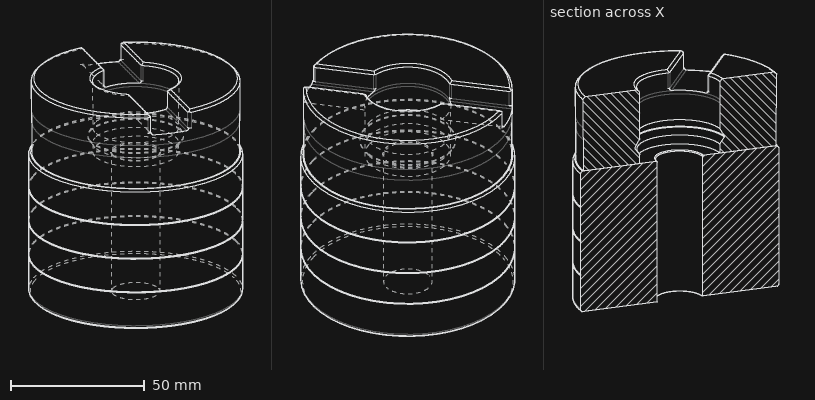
import cadquery as cq
import math

TOTAL_HEIGHT = 85.0
BASE_HEIGHT = 55.8

BASE_RADIUS = 80.0 / 2
HOLE_RADIUS = 18.0 / 2
HOLE_CHAMFER = 0.38
RIM_CHAMFER_HEIGHT = 1.0
RIM_CHAMFER_WIDTH = 0.8
FOOT_CHAMFER = 0.7
FOOT_TAPER_TOP = 1.4
FOOT_TAPER = 0.025
GROOVE_COUNT = 3
GROOVE_PITCH = 13.4
FIRST_GROOVE_HEIGHT = 14.7
GROOVE_WIDTH = 0.4
GROOVE_DEPTH = 0.2

COLLAR_TOP_RADIUS = 78.0 / 2
COLLAR_LOWER_RADIUS = 77.7 / 2
COLLAR_TAPER_TOP = 72.9
COLLAR_TAPER_BOTTOM = 68.1
BORE_TOP_RADIUS = 32.2 / 2
BORE_LOWER_RADIUS = 32.05 / 2
BORE_TAPER_TOP = 76.8
BORE_TAPER_BOTTOM = 75.6
COLLAR_CHAMFER = 1.0

UNDERCUT_TOP = 65.4
UNDERCUT_DEPTH = 1.9
UNDERCUT_FLOOR_HEIGHT = 0.3
UPPER_FLANK_ANGLE = math.radians(30)
LOWER_FLANK_ANGLE = math.radians(37)

SLOT_WIDTH = 14.7
SLOT_DEPTH = 8.0
SLOT_ANGLE = -35.0
SLOT_FLOOR_FILLET = 0.8
SLOT_END_FILLET = 1.0
SLOT_WALLS = cq.selectors.ParallelDirSelector(
    cq.Vector(-math.sin(math.radians(SLOT_ANGLE)), math.cos(math.radians(SLOT_ANGLE)), 0)
)


def revolve_profile(points):
    """Revolve a closed (radius, height) outline about the Z axis."""
    return cq.Workplane("XZ").polyline(points).close().revolve(360, (0, 0, 0), (0, 1, 0))


def make_base():
    """Cylinder with V-shaped ring grooves, chamfered rims and a through hole."""
    foot_radius = BASE_RADIUS - FOOT_TAPER
    outline = [
        (HOLE_RADIUS, 0),
        (foot_radius - FOOT_CHAMFER, 0),
        (foot_radius, FOOT_CHAMFER),
        (BASE_RADIUS, FOOT_TAPER_TOP),
        (BASE_RADIUS, BASE_HEIGHT - RIM_CHAMFER_HEIGHT),
        (BASE_RADIUS - RIM_CHAMFER_WIDTH, BASE_HEIGHT),
        (HOLE_RADIUS + HOLE_CHAMFER, BASE_HEIGHT),
        (HOLE_RADIUS, BASE_HEIGHT - HOLE_CHAMFER),
    ]
    base = revolve_profile(outline)
    for index in range(GROOVE_COUNT):
        middle = FIRST_GROOVE_HEIGHT + index * GROOVE_PITCH
        groove = revolve_profile([
            (BASE_RADIUS, middle - GROOVE_WIDTH / 2),
            (BASE_RADIUS - GROOVE_DEPTH, middle),
            (BASE_RADIUS, middle + GROOVE_WIDTH / 2),
        ])
        base = base.cut(groove)
    return base


def cut_slot(ring):
    """Cut a slot with flared upper edges, rounded wall ends and rounded floor edges."""
    half_width = SLOT_WIDTH / 2
    half_flare = half_width + COLLAR_CHAMFER
    flare_bottom = TOTAL_HEIGHT - COLLAR_CHAMFER
    floor = TOTAL_HEIGHT - SLOT_DEPTH
    wall_bottom = floor + SLOT_FLOOR_FILLET
    wall_section = [
        (-half_width, wall_bottom),
        (half_width, wall_bottom),
        (half_width, flare_bottom),
        (half_flare, TOTAL_HEIGHT),
        (-half_flare, TOTAL_HEIGHT),
        (-half_width, flare_bottom),
    ]
    wall_cutter = (
        cq.Workplane("YZ")
        .polyline(wall_section)
        .close()
        .extrude(2 * COLLAR_TOP_RADIUS, both=True)
        .rotate((0, 0, 0), (0, 0, 1), SLOT_ANGLE)
    )
    floor_cutter = (
        cq.Workplane("XY")
        .workplane(offset=floor)
        .rect(4 * COLLAR_TOP_RADIUS, SLOT_WIDTH)
        .extrude(SLOT_DEPTH / 2)
        .edges("|X and <Z")
        .fillet(SLOT_FLOOR_FILLET)
        .rotate((0, 0, 0), (0, 0, 1), SLOT_ANGLE)
    )
    walled = ring.cut(wall_cutter)
    rounded = walled.faces(SLOT_WALLS).edges("|Z").fillet(SLOT_END_FILLET)
    return rounded.cut(floor_cutter)


def make_collar():
    """Ring with a stepped bore, an undercut and a slotted top."""
    undercut_radius = BORE_LOWER_RADIUS + UNDERCUT_DEPTH
    floor_top = UNDERCUT_TOP - UNDERCUT_DEPTH / math.tan(UPPER_FLANK_ANGLE)
    floor_bottom = floor_top - UNDERCUT_FLOOR_HEIGHT
    undercut_bottom = floor_bottom - UNDERCUT_DEPTH / math.tan(LOWER_FLANK_ANGLE)
    outline = [
        (COLLAR_LOWER_RADIUS, BASE_HEIGHT),
        (COLLAR_LOWER_RADIUS, COLLAR_TAPER_BOTTOM),
        (COLLAR_TOP_RADIUS, COLLAR_TAPER_TOP),
        (COLLAR_TOP_RADIUS, TOTAL_HEIGHT - COLLAR_CHAMFER),
        (COLLAR_TOP_RADIUS - COLLAR_CHAMFER, TOTAL_HEIGHT),
        (BORE_TOP_RADIUS + COLLAR_CHAMFER, TOTAL_HEIGHT),
        (BORE_TOP_RADIUS, TOTAL_HEIGHT - COLLAR_CHAMFER),
        (BORE_TOP_RADIUS, BORE_TAPER_TOP),
        (BORE_LOWER_RADIUS, BORE_TAPER_BOTTOM),
        (BORE_LOWER_RADIUS, UNDERCUT_TOP),
        (undercut_radius, floor_top),
        (undercut_radius, floor_bottom),
        (BORE_LOWER_RADIUS, undercut_bottom),
        (BORE_LOWER_RADIUS, BASE_HEIGHT),
    ]
    return cut_slot(revolve_profile(outline))


base = make_base()
collar = make_collar()
result = cq.Compound.makeCompound([base.val(), collar.val()])